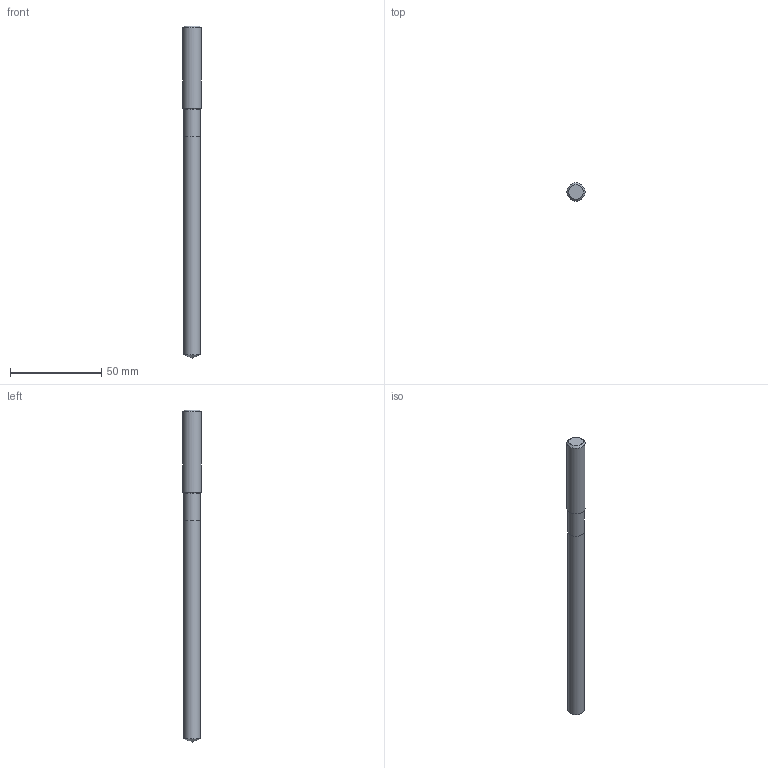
import cadquery as cq
import math

TOTAL_LENGTH = 181.99
SHANK_DIAMETER = 10.0
SHANK_LENGTH = 45.0
SHANK_CHAMFER = 1.0
CUTTING_DIAMETER = 9.0
CUTTING_LENGTH = 121.5
POINT_ANGLE = 138.0

NECK_DIAMETER = CUTTING_DIAMETER

shank_radius = SHANK_DIAMETER / 2
neck_radius = NECK_DIAMETER / 2
cutting_radius = CUTTING_DIAMETER / 2
point_height = cutting_radius / math.tan(math.radians(POINT_ANGLE / 2))
shank_bottom = TOTAL_LENGTH - SHANK_LENGTH
neck_top = shank_bottom - (shank_radius - neck_radius)


def make_cutting_part():
    """Plain cylinder that ends in a conical point."""
    return (
        cq.Workplane("YZ")
        .lineTo(-cutting_radius, point_height)
        .lineTo(-cutting_radius, CUTTING_LENGTH)
        .lineTo(0, CUTTING_LENGTH)
        .close()
        .revolve(360, (0, 0), (0, 1))
    )


def make_shank():
    """Neck, short cone and clamping shank in one piece, with a chamfered top end."""
    return (
        cq.Workplane("XZ")
        .moveTo(0, CUTTING_LENGTH)
        .lineTo(-neck_radius, CUTTING_LENGTH)
        .lineTo(-neck_radius, neck_top)
        .lineTo(-shank_radius, shank_bottom)
        .lineTo(-shank_radius, TOTAL_LENGTH - SHANK_CHAMFER)
        .lineTo(-shank_radius + SHANK_CHAMFER, TOTAL_LENGTH)
        .lineTo(0, TOTAL_LENGTH)
        .close()
        .revolve(360, (0, 0), (0, 1))
    )


cutting_part = make_cutting_part()
shank = make_shank()

result = cq.Compound.makeCompound([cutting_part.val(), shank.val()])